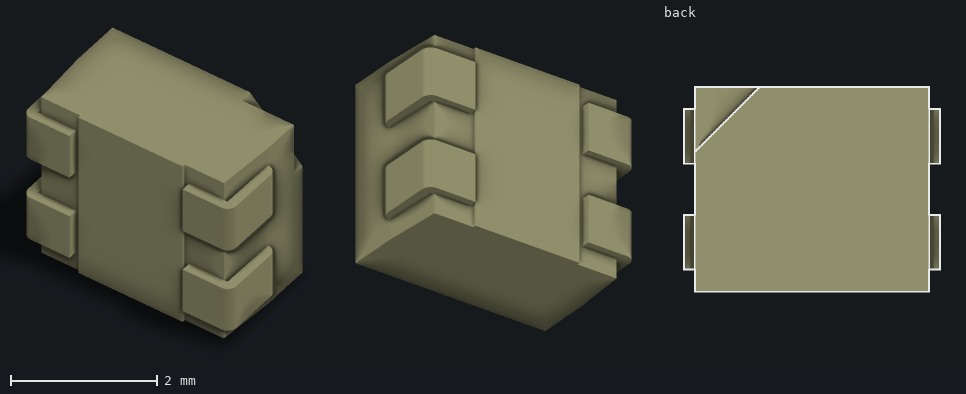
import cadquery as cq

overall_width = 3.5
overall_height = 1.9
body_length = 2.8

lead_thickness = 0.15
lead_corner_radius = 0.147
lead_rise = 1.092
lead_foot = 0.798
lead_length = 0.75
lead_pitch = 1.445

body_width = overall_width - 2 * lead_thickness
body_base = lead_thickness
taper_inset = 0.063
pad_width = 1.757
pad_depth = 0.05

mark_leg = 0.89
mark_depth = 0.203


def make_body():
    """Block with straight upper sides, lower sides tapering in, and a raised pad underneath."""
    half_top = body_width / 2
    half_base = half_top - taper_inset
    half_pad = pad_width / 2
    pad_face = body_base - pad_depth
    outline = [
        (-half_top, overall_height),
        (-half_top, lead_rise),
        (-half_base, body_base),
        (-half_pad, body_base),
        (-half_pad, pad_face),
        (half_pad, pad_face),
        (half_pad, body_base),
        (half_base, body_base),
        (half_top, lead_rise),
        (half_top, overall_height),
    ]
    return cq.Workplane("XY").polyline(outline).close().extrude(body_length / 2, both=True)


def make_polarity_mark():
    """Triangular prism that takes off the +X/+Z corner, reaching down from the top face."""
    corner_x = body_width / 2
    corner_z = body_length / 2
    triangle = [
        (corner_x, corner_z),
        (corner_x - mark_leg, corner_z),
        (corner_x, corner_z - mark_leg),
    ]
    return cq.Workplane("XZ", origin=(0, overall_height, 0)).polyline(triangle).close().extrude(mark_depth)


def make_lead(side, center_z):
    """J-shaped lead on the -X (side = -1) or +X (side = 1) flank, with rounded outer corners."""
    outer = side * overall_width / 2
    inner = side * body_width / 2
    foot_tip = side * (overall_width / 2 - lead_foot)
    outline = [
        (outer, 0),
        (outer, lead_rise),
        (inner, lead_rise),
        (inner, lead_thickness),
        (foot_tip, lead_thickness),
        (foot_tip, 0),
    ]
    lead = (
        cq.Workplane("XY", origin=(0, 0, center_z))
        .polyline(outline)
        .close()
        .extrude(lead_length / 2, both=True)
    )
    outer_face = ">X" if side > 0 else "<X"
    return lead.faces(outer_face).edges("|Z").fillet(lead_corner_radius)


result = make_body().cut(make_polarity_mark())
for side in (-1, 1):
    for center_z in (-lead_pitch / 2, lead_pitch / 2):
        result = result.union(make_lead(side, center_z))